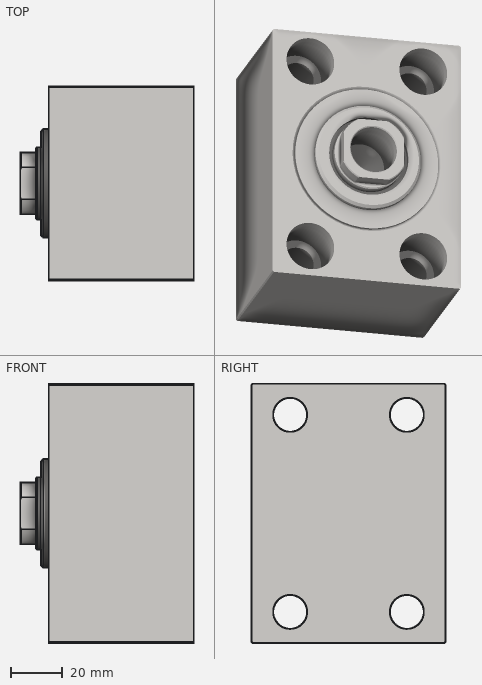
import cadquery as cq
import math


block_length = 56.0
block_width = 75.0
block_height = 100.0
block_edge_chamfer = 0.5

screw_spacing_y = 45.0
screw_spacing_z = 76.0
screw_hole_diameter = 13.0
counterbore_diameter = 19.0
counterbore_depth = 20.0

gland_diameter = 57.0
gland_depth = 20.0
bore_mouth_chamfer = 1.1
collar_diameter = 42.0
collar_height = 3.0
collar_chamfer = 1.0
wiper_recess_diameter = 31.6
wiper_recess_depth = 2.0

rod_diameter = 28.0
rod_chamfer = 0.5
rod_protrusion = 11.0
tip_length = 6.1
tip_diameter = 27.0
tip_chamfer = 0.4
tip_across_flats = 24.0
tip_hole_diameter = 18.4
tip_hole_chamfer = 0.4
tip_hole_depth = 20.0
drill_point_angle = 118.0


def cylinder(diameter, x_start, x_end):
    """Solid cylinder on the X axis between two X positions."""
    return cq.Workplane("YZ", origin=(x_start, 0, 0)).circle(diameter / 2).extrude(x_end - x_start)


def cone(start_diameter, end_diameter, x_start, x_end):
    """Solid cone or frustum on the X axis, pointing toward +X."""
    solid = cq.Solid.makeCone(
        start_diameter / 2,
        end_diameter / 2,
        x_end - x_start,
        cq.Vector(x_start, 0, 0),
        cq.Vector(1, 0, 0),
    )
    return cq.Workplane("YZ").newObject([solid])


def make_housing():
    block = (
        cq.Workplane("YZ")
        .rect(block_width, block_height)
        .extrude(block_length)
        .edges("|X")
        .chamfer(block_edge_chamfer)
    )

    block = block.cut(cylinder(gland_diameter, 0, gland_depth))
    mouth_diameter = gland_diameter + 2 * bore_mouth_chamfer
    block = block.cut(cone(mouth_diameter, gland_diameter, 0, bore_mouth_chamfer))

    return (
        block.faces("<X")
        .workplane(origin=(0, 0, 0))
        .rect(screw_spacing_y, screw_spacing_z, forConstruction=True)
        .vertices()
        .cboreHole(screw_hole_diameter, counterbore_diameter, counterbore_depth)
    )


def make_gland():
    collar = cylinder(collar_diameter, -collar_height, 0).faces("<X").edges().chamfer(collar_chamfer)
    gland = cylinder(gland_diameter, 0, gland_depth).union(collar)
    recess = cylinder(wiper_recess_diameter, -collar_height, wiper_recess_depth - collar_height)
    rod_bore = cylinder(rod_diameter, -collar_height, gland_depth)
    return gland.cut(recess).cut(rod_bore)


def make_rod():
    tip_start = -rod_protrusion
    shoulder = tip_start + tip_length

    shank = cylinder(rod_diameter, shoulder, gland_depth).faces("<X").edges().chamfer(rod_chamfer)

    tip = cylinder(tip_diameter, tip_start, shoulder).faces("<X").edges().chamfer(tip_chamfer)
    flats = (
        cq.Workplane("YZ", origin=(tip_start, 0, 0))
        .rect(tip_across_flats, tip_across_flats)
        .extrude(tip_length)
    )
    rod = shank.union(tip.intersect(flats))

    hole_bottom = tip_start + tip_hole_depth
    point_depth = tip_hole_diameter / 2 / math.tan(math.radians(drill_point_angle / 2))
    mouth_diameter = tip_hole_diameter + 2 * tip_hole_chamfer
    rod = rod.cut(cylinder(tip_hole_diameter, tip_start, hole_bottom))
    rod = rod.cut(cone(mouth_diameter, tip_hole_diameter, tip_start, tip_start + tip_hole_chamfer))
    return rod.cut(cone(tip_hole_diameter, 0, hole_bottom, hole_bottom + point_depth))


housing = make_housing()
gland = make_gland()
rod = make_rod()

result = cq.Compound.makeCompound([housing.val(), gland.val(), rod.val()])